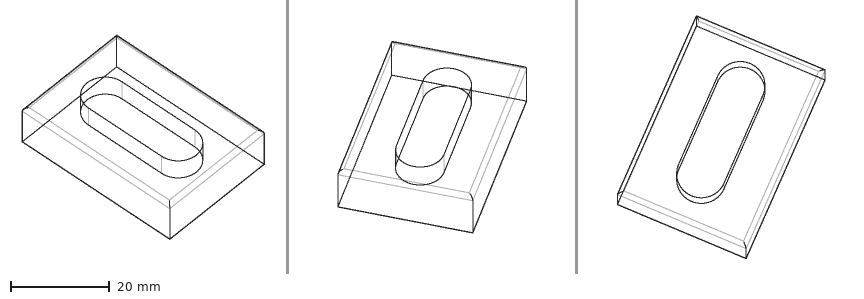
import cadquery as cq

length = 40.45
width = 28.4
height = 10.0
edge_radius = 1.0

slot_length = 30.0
slot_width = 10.0
slot_depth = height / 2
slot_center = (-0.25, -0.2)

block = (
    cq.Workplane("XY")
    .box(length, width, height, centered=(True, True, False))
    .faces(">Z")
    .edges()
    .fillet(edge_radius)
)

slot = (
    cq.Workplane("XY")
    .workplane(offset=height - slot_depth)
    .center(*slot_center)
    .slot2D(slot_length, slot_width)
    .extrude(slot_depth)
)

result = block.cut(slot)